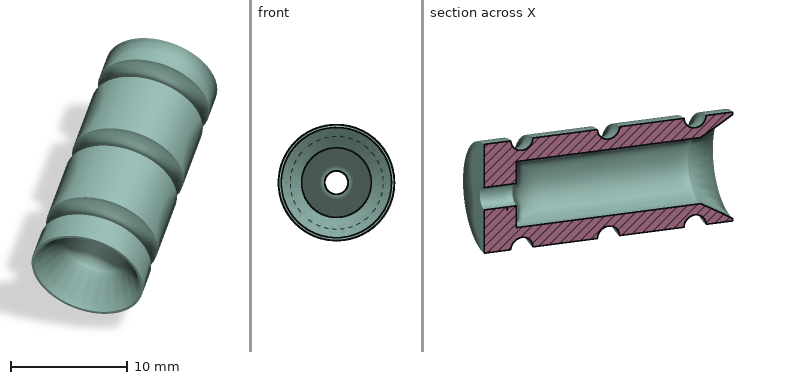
import cadquery as cq

length = 23.0
outer_diameter = 10.0

groove_radius = 1.0
groove_spacing = 8.0

rim_width = 0.25
mouth_depth = 3.0
cavity_diameter = 6.0

end_wall = 3.0
hole_diameter = 2.0

outer_radius = outer_diameter / 2
mouth_radius = outer_radius - rim_width
cavity_radius = cavity_diameter / 2
hole_radius = hole_diameter / 2
front_y = -length / 2
back_y = length / 2


def revolve_about_y(points):
    """Solid of revolution about Y from a closed outline of (radius, y) points."""
    return cq.Workplane("XY").polyline(points).close().revolve(360, (0, 0), (0, 1))


def make_body():
    """Solid cylinder with its axis along Y."""
    return cq.Workplane("XZ", origin=(0, back_y, 0)).circle(outer_radius).extrude(length)


def make_groove(center_y):
    """Ring of round section, centred on the outer surface."""
    return (
        cq.Workplane("XY")
        .center(outer_radius, center_y)
        .circle(groove_radius)
        .revolve(360, (-outer_radius, 0), (-outer_radius, 1))
    )


def make_cavity():
    """Conical mouth, straight cavity and end hole as one stepped solid."""
    mouth_end_y = front_y + mouth_depth
    floor_y = back_y - end_wall
    return revolve_about_y([
        (0, front_y),
        (mouth_radius, front_y),
        (cavity_radius, mouth_end_y),
        (cavity_radius, floor_y),
        (hole_radius, floor_y),
        (hole_radius, back_y),
        (0, back_y),
    ])


result = make_body()
for step in (-1, 0, 1):
    result = result.cut(make_groove(step * groove_spacing))
result = result.cut(make_cavity())